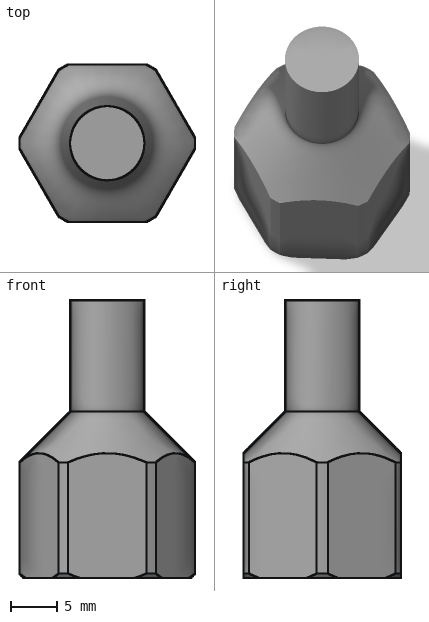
import cadquery as cq
import math

total_height = 30.0
shank_diameter = 8.0
shank_length = 12.0
across_flats = 17.0
corner_diameter = 19.0
base_chamfer = 0.5

shank_radius = shank_diameter / 2
corner_radius = corner_diameter / 2
cone_top = total_height - shank_length
cone_bottom = cone_top - (corner_radius - shank_radius)
sharp_corner_diameter = across_flats / math.cos(math.radians(30))


def turned_blank():
    """Revolved shape: chamfered base, cylinder, cone and shank."""
    half_profile = (
        cq.Workplane("XZ")
        .moveTo(0, 0)
        .lineTo(corner_radius - base_chamfer, 0)
        .lineTo(corner_radius, base_chamfer)
        .lineTo(corner_radius, cone_bottom)
        .lineTo(shank_radius, cone_top)
        .lineTo(shank_radius, total_height)
        .lineTo(0, total_height)
        .close()
    )
    return half_profile.revolve(360, (0, 0), (0, 1))


def hexagon_prism():
    """Full-height hexagon with two corners on the X axis."""
    return cq.Workplane("XY").polygon(6, sharp_corner_diameter).extrude(total_height)


result = turned_blank().intersect(hexagon_prism())